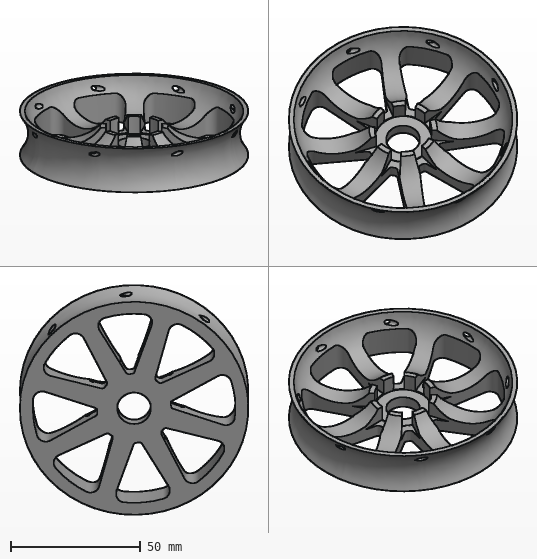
import cadquery as cq
import math

rim_radius = 44.25
wheel_height = 18.0
rim_waist_radius = 41.1
rim_lip_width = 1.95
spoke_count = 8
spoke_pitch = 360.0 / spoke_count

bore_diameter = 13.0
collar_inner_radius = 22.0 / 2
collar_outer_radius = 13.2
collar_top = 11.95
hub_floor = 4.9
slot_floor = 5.3
slot_angle = 21.0

dish_low_radius = 26.2
dish_low_height = 5.7

window_side_angle = 24.6
window_tip_width = 2.65
window_inner_radius = 14.3
window_outer_radius = 39.2
window_tip_fillet = 1.2
window_outer_fillet = 3.5

rim_hole_diameter = 2.0
rim_hole_height = 14.0
rim_hole_radius = 41.3
rim_hole_slant = 62.0
rim_hole_length = 10.6


def wheel_body():
    """Revolve the section: waisted rim, dished web, collar and recessed hub."""
    rim_inner_radius = rim_radius - rim_lip_width
    return (
        cq.Workplane("XZ")
        .moveTo(bore_diameter / 2, 0)
        .lineTo(rim_radius, 0)
        .threePointArc((rim_waist_radius, wheel_height / 2), (rim_radius, wheel_height))
        .lineTo(rim_inner_radius, wheel_height)
        .threePointArc((dish_low_radius, dish_low_height), (collar_outer_radius, collar_top))
        .lineTo(collar_inner_radius, collar_top)
        .lineTo(collar_inner_radius, hub_floor)
        .lineTo(bore_diameter / 2, hub_floor)
        .close()
        .revolve(360, (0, 0, 0), (0, 1, 0))
    )


def window():
    """Opening centred on +X, widening from a narrow tip to an arc beside the rim."""
    side_angle = math.radians(window_side_angle)
    tip_half = window_tip_width / 2

    apex = window_inner_radius - tip_half / math.tan(side_angle)
    apex_to_arc = math.sqrt(window_outer_radius**2 - (apex * math.sin(side_angle)) ** 2)
    side_length = apex_to_arc - apex * math.cos(side_angle)
    outer_x = apex + side_length * math.cos(side_angle)
    outer_half = side_length * math.sin(side_angle)

    tip_corners = cq.selectors.BoxSelector(
        (0, -rim_radius, 0), (dish_low_radius, rim_radius, wheel_height)
    )
    outer_corners = cq.selectors.BoxSelector(
        (dish_low_radius, -rim_radius, 0), (window_outer_radius, rim_radius, wheel_height)
    )
    return (
        cq.Workplane("XY")
        .moveTo(window_inner_radius, -tip_half)
        .lineTo(outer_x, -outer_half)
        .threePointArc((window_outer_radius, 0), (outer_x, outer_half))
        .lineTo(window_inner_radius, tip_half)
        .close()
        .extrude(wheel_height)
        .edges("|Z")
        .edges(tip_corners)
        .fillet(window_tip_fillet)
        .edges("|Z")
        .edges(outer_corners)
        .fillet(window_outer_fillet)
    )


def collar_slot():
    """Radial wedge on +X that splits the collar and trims the spoke roots."""
    slot_reach = dish_low_radius
    half_width = slot_reach * math.tan(math.radians(slot_angle / 2))
    return (
        cq.Workplane("XY")
        .workplane(offset=slot_floor)
        .polyline([(0, 0), (slot_reach, -half_width), (slot_reach, half_width)])
        .close()
        .extrude(wheel_height)
    )


def rim_hole():
    """Horizontal hole through the rim on +X, slanted away from radial."""
    slant = math.radians(rim_hole_slant)
    direction = cq.Vector(math.cos(slant), math.sin(slant), 0)
    middle = cq.Vector(rim_hole_radius, 0, rim_hole_height)
    start = middle - direction * (rim_hole_length / 2)
    hole = cq.Solid.makeCylinder(rim_hole_diameter / 2, rim_hole_length, start, direction)
    return cq.Workplane(obj=hole)


result = wheel_body()
for cutter in (window(), collar_slot(), rim_hole()):
    for i in range(spoke_count):
        result = result.cut(cutter.rotate((0, 0, 0), (0, 0, 1), i * spoke_pitch))